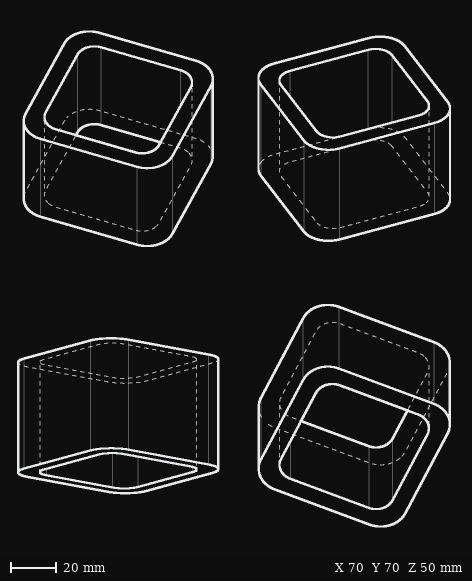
import cadquery as cq

outer_side = 70.0
height = 50.0
wall_thickness = 8.0
outer_corner_radius = 12.0
inner_corner_radius = 8.0

inner_side = outer_side - 2 * wall_thickness


def rounded_square_prism(side, corner_radius):
    """Square prism of the tube's height with rounded vertical edges."""
    return (
        cq.Workplane("XY")
        .rect(side, side)
        .extrude(height)
        .edges("|Z")
        .fillet(corner_radius)
    )


outer_body = rounded_square_prism(outer_side, outer_corner_radius)
through_opening = rounded_square_prism(inner_side, inner_corner_radius)

result = outer_body.cut(through_opening)